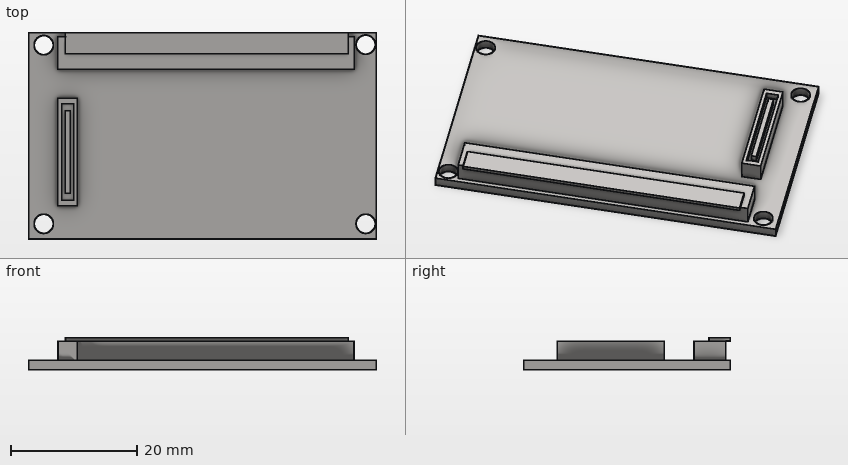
import cadquery as cq

BOARD_LENGTH = 55.03
BOARD_WIDTH = 32.69
BOARD_THICKNESS = 1.55

HOLE_DIAMETER = 3.0
LEFT_HOLE_X = 2.4
RIGHT_HOLE_X = BOARD_LENGTH - 1.7
FRONT_HOLE_Y = 2.43
BACK_LEFT_HOLE_Y = BOARD_WIDTH - 2.0
BACK_RIGHT_HOLE_Y = BOARD_WIDTH - 1.92
HOLE_CENTERS = [
    (LEFT_HOLE_X, FRONT_HOLE_Y),
    (RIGHT_HOLE_X, FRONT_HOLE_Y),
    (LEFT_HOLE_X, BACK_LEFT_HOLE_Y),
    (RIGHT_HOLE_X, BACK_RIGHT_HOLE_Y),
]

CONNECTOR_X = 4.64
CONNECTOR_HEIGHT = 3.0
CONNECTOR_TOP = BOARD_THICKNESS + CONNECTOR_HEIGHT

LONG_LENGTH = 46.85
LONG_WIDTH = 5.08
LONG_BACK_GAP = 0.7
LONG_Y = BOARD_WIDTH - LONG_BACK_GAP - LONG_WIDTH

COVER_X = 5.83
COVER_LENGTH = 44.75
COVER_WIDTH = 3.4
COVER_THICKNESS = 0.55

SOCKET_WIDTH = 3.05
SOCKET_LENGTH = 16.95
SOCKET_Y = 5.31
SOCKET_CENTER = (CONNECTOR_X + SOCKET_WIDTH / 2, SOCKET_Y + SOCKET_LENGTH / 2)

RECESS_WIDTH = 1.9
RECESS_LENGTH = 15.3
RECESS_DEPTH = 1.0
TONGUE_WIDTH = 0.8
TONGUE_LENGTH = 13.05
TONGUE_HEIGHT = RECESS_DEPTH


def corner_box(length, width, height, corner):
    """Box whose lower front left corner sits at the given point."""
    return cq.Workplane("XY").box(length, width, height, centered=False).translate(corner)


def socket_box(width, length, height, base_z):
    """Box centered on the socket, standing on the given height."""
    center_x, center_y = SOCKET_CENTER
    block = cq.Workplane("XY").box(width, length, height, centered=(True, True, False))
    return block.translate((center_x, center_y, base_z))


def make_board():
    board = corner_box(BOARD_LENGTH, BOARD_WIDTH, BOARD_THICKNESS, (0, 0, 0))
    holes = cq.Workplane("XY").pushPoints(HOLE_CENTERS).circle(HOLE_DIAMETER / 2).extrude(BOARD_THICKNESS)
    return board.cut(holes)


def make_long_connector():
    body = corner_box(LONG_LENGTH, LONG_WIDTH, CONNECTOR_HEIGHT, (CONNECTOR_X, LONG_Y, BOARD_THICKNESS))
    cover_corner = (COVER_X, BOARD_WIDTH - COVER_WIDTH, CONNECTOR_TOP)
    cover = corner_box(COVER_LENGTH, COVER_WIDTH, COVER_THICKNESS, cover_corner)
    return body.union(cover)


def make_socket():
    recess_floor = CONNECTOR_TOP - RECESS_DEPTH
    body = socket_box(SOCKET_WIDTH, SOCKET_LENGTH, CONNECTOR_HEIGHT, BOARD_THICKNESS)
    recess = socket_box(RECESS_WIDTH, RECESS_LENGTH, RECESS_DEPTH, recess_floor)
    tongue = socket_box(TONGUE_WIDTH, TONGUE_LENGTH, TONGUE_HEIGHT, recess_floor)
    return body.cut(recess).union(tongue)


result = make_board().union(make_long_connector()).union(make_socket())